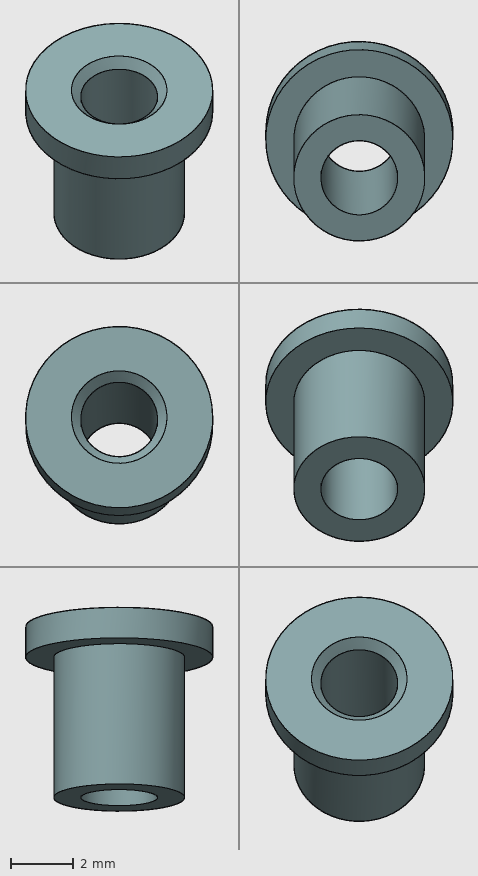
import cadquery as cq

flange_diameter = 6.0
flange_thickness = 1.0
sleeve_diameter = 4.2
bore_diameter = 2.46
total_height = 5.6
bore_chamfer = 0.3

sleeve_height = total_height - flange_thickness

sleeve = cq.Workplane("XY").circle(sleeve_diameter / 2).extrude(sleeve_height)
flange = (
    cq.Workplane("XY")
    .workplane(offset=sleeve_height)
    .circle(flange_diameter / 2)
    .extrude(flange_thickness)
)
body = sleeve.union(flange)

bored = body.faces(">Z").workplane().hole(bore_diameter)
result = bored.faces(">Z").edges(cq.selectors.RadiusNthSelector(0)).chamfer(bore_chamfer)